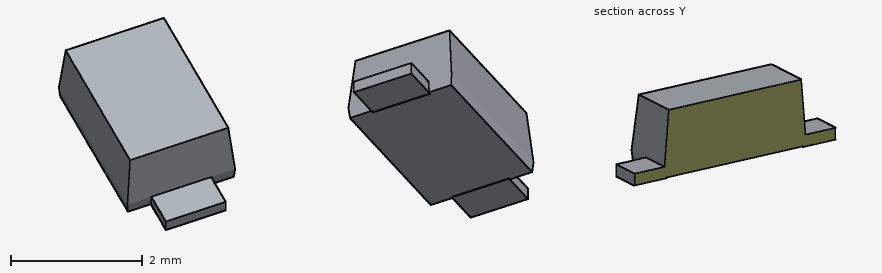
import cadquery as cq
import math

overall_length = 3.7
body_length = 2.6
body_width = 1.8
total_height = 1.11
draft_angle = 5.0

lead_length = 0.6
lead_width = 1.0
lead_thickness = 0.2

standoff = 0.01

parting_height = lead_thickness


def drafted_half(far_height):
    """Half of the body, narrowing from the parting plane to far_height."""
    rise = far_height - parting_height
    inset = 2 * abs(rise) * math.tan(math.radians(draft_angle))
    return (
        cq.Workplane("XY", origin=(0, 0, parting_height))
        .rect(body_length, body_width)
        .workplane(offset=rise)
        .rect(body_length - inset, body_width - inset)
        .loft(ruled=True)
    )


def lead(side):
    """Flat lead at the -X (side = -1) or +X (side = 1) end, reaching under the body."""
    center_x = side * (overall_length - lead_length) / 2
    return (
        cq.Workplane("XY")
        .center(center_x, 0)
        .box(lead_length, lead_width, lead_thickness, centered=(True, True, False))
    )


result = drafted_half(total_height).union(drafted_half(standoff))
for side in (-1, 1):
    result = result.union(lead(side))